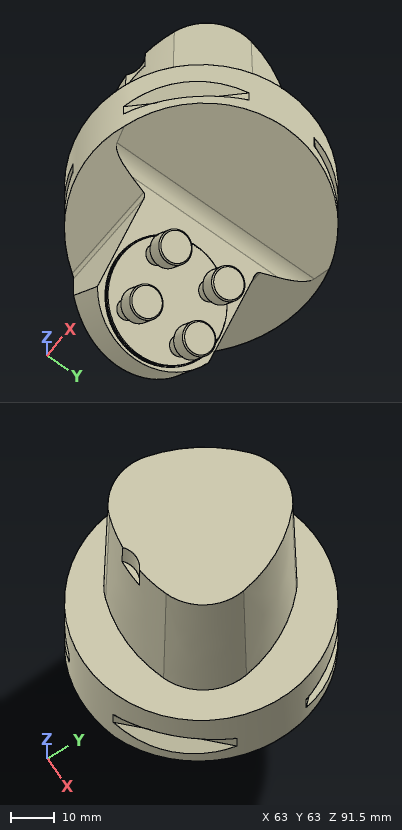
import cadquery as cq
import math


flange_diameter = 63.0
flange_radius = flange_diameter / 2
overall_height = 91.6
rim_depth = 19.8
rim_depth_right = 18.6
underside_angle = 14.0
underside_angle_right = 4.1
jaw_width = 32.4
jaw_half = jaw_width / 2
jaw_fillet = 1.0
relief_fillet = 6.4

shank_height = 37.9
shank_taper = math.degrees(math.atan(1 / 40))
lobe_reach = 23.4
lobe_radius = 14.5
flank_reach = 20.2
lobe_angles = (90, 210, 330)

notch_radius = 5.7
notch_depth_y = 17.9
notch_height = 6.5

groove_floor_distance = 27.9
groove_floor_height = 3.5
groove_center_z = -12.0
groove_side_angle = 30.0

face_drop = 23.6
face_center_drop = 37.0
jaw_end_rise = 9.6
seat_diameter = 30.95
seat_thickness = 0.5
disc_diameter = 30.4
disc_thickness = 0.6
screw_spacing = 15.4
screw_shank_diameter = 5.0
screw_head_diameter = 8.5
screw_head_length = 5.0
screw_length = 11.9
screw_head_chamfer = 0.4

face_plane = cq.Plane(
    origin=(face_drop - face_center_drop, 0, -face_center_drop),
    xDir=(0, 1, 0),
    normal=(1, 0, -1),
)


def polar(radius, degrees):
    angle = math.radians(degrees)
    return (radius * math.cos(angle), radius * math.sin(angle))


def make_shank():
    lobe_center = lobe_reach - lobe_radius
    along = lobe_center * math.cos(math.radians(60))
    across = lobe_center * math.sin(math.radians(60))
    reach_gap = flank_reach - along
    flank_radius = (across**2 + reach_gap**2 - lobe_radius**2) / (2 * (reach_gap - lobe_radius))
    flank_half_angle = math.degrees(math.asin(across / (flank_radius - lobe_radius)))
    lobe_half_angle = 60 - flank_half_angle

    def lobe_end(lobe_angle, turn):
        center = polar(lobe_center, lobe_angle)
        offset = polar(lobe_radius, lobe_angle + turn)
        return (center[0] + offset[0], center[1] + offset[1])

    outline = cq.Workplane("XY").moveTo(*lobe_end(lobe_angles[0], -lobe_half_angle))
    for angle in lobe_angles:
        outline = outline.threePointArc(polar(lobe_reach, angle), lobe_end(angle, lobe_half_angle))
        next_start = lobe_end(angle + 120, -lobe_half_angle)
        outline = outline.threePointArc(polar(flank_reach, angle + 60), next_start)
    shank = outline.close().extrude(shank_height, taper=shank_taper)

    notch = (
        cq.Workplane("XY", origin=(0, -notch_depth_y - notch_radius, shank_height - notch_height))
        .circle(notch_radius)
        .extrude(notch_height)
    )
    return shank.cut(notch)


def make_cross_section():
    underside_z = -rim_depth - (flange_radius - jaw_half) * math.tan(math.radians(underside_angle))
    return (
        cq.Workplane("YZ")
        .polyline([
            (-flange_radius, 0),
            (-flange_radius, -rim_depth),
            (-jaw_half, underside_z),
            (-jaw_half, -overall_height),
            (jaw_half, -overall_height),
            (jaw_half, underside_z),
            (flange_radius, -rim_depth),
            (flange_radius, 0),
        ])
        .close()
        .extrude(flange_radius, both=True)
        .edges(cq.selectors.BoxSelector(
            (-flange_radius, -jaw_half - 0.9, underside_z - 0.9),
            (flange_radius, jaw_half + 0.9, underside_z + 0.9),
            boundingbox=False,
        ))
        .edges("|X")
        .fillet(jaw_fillet)
    )


def make_side_section():
    slope = math.tan(math.radians(underside_angle_right))
    corner_x = (face_drop - rim_depth_right - slope * flange_radius) / (1 - slope)
    corner_z = corner_x - face_drop
    return (
        cq.Workplane("XZ")
        .polyline([
            (-flange_radius, 0),
            (-flange_radius, -flange_radius - face_drop),
            (corner_x, corner_z),
            (flange_radius, -rim_depth_right),
            (flange_radius, 0),
        ])
        .close()
        .extrude(flange_radius, both=True)
        .edges(cq.selectors.NearestToPointSelector((corner_x, 0, corner_z)))
        .fillet(relief_fillet)
    )


def make_jaw_end():
    shoulder = jaw_end_rise - jaw_half
    return (
        cq.Workplane(face_plane)
        .moveTo(-jaw_half, shoulder)
        .threePointArc((0, -jaw_half), (jaw_half, shoulder))
        .lineTo(flange_diameter, shoulder)
        .lineTo(flange_diameter, overall_height)
        .lineTo(-flange_diameter, overall_height)
        .lineTo(-flange_diameter, shoulder)
        .close()
        .extrude(overall_height, both=True)
    )


def make_groove(angle):
    depth = flange_radius - groove_floor_distance
    floor_half = groove_floor_height / 2
    mouth_half = floor_half + depth * math.tan(math.radians(groove_side_angle))
    return (
        cq.Workplane("XZ")
        .polyline([
            (groove_floor_distance, groove_center_z - floor_half),
            (flange_radius, groove_center_z - mouth_half),
            (flange_radius, groove_center_z + mouth_half),
            (groove_floor_distance, groove_center_z + floor_half),
        ])
        .close()
        .extrude(flange_radius, both=True)
        .rotate((0, 0, 0), (0, 0, 1), angle)
    )


def make_body():
    body = cq.Workplane("XY").circle(flange_radius).extrude(-overall_height)
    for envelope in (make_cross_section(), make_side_section(), make_jaw_end()):
        body = body.intersect(envelope)
    for angle in (45, 135, 225, 315):
        body = body.cut(make_groove(angle))
    return body


def make_disc():
    return (
        cq.Workplane(face_plane)
        .circle(seat_diameter / 2)
        .extrude(seat_thickness)
        .faces(cq.selectors.DirectionMinMaxSelector(face_plane.zDir))
        .workplane()
        .circle(disc_diameter / 2)
        .extrude(disc_thickness)
    )


def make_screws():
    positions = cq.Workplane(face_plane).rarray(screw_spacing, screw_spacing, 2, 2)
    shanks = positions.circle(screw_shank_diameter / 2).extrude(screw_length)
    heads = (
        cq.Workplane(face_plane)
        .workplane(offset=screw_length - screw_head_length)
        .rarray(screw_spacing, screw_spacing, 2, 2)
        .circle(screw_head_diameter / 2)
        .extrude(screw_head_length)
        .faces(cq.selectors.DirectionMinMaxSelector(face_plane.zDir))
        .edges()
        .chamfer(screw_head_chamfer)
    )
    return shanks.union(heads)


result = make_body().union(make_shank()).union(make_disc()).union(make_screws())